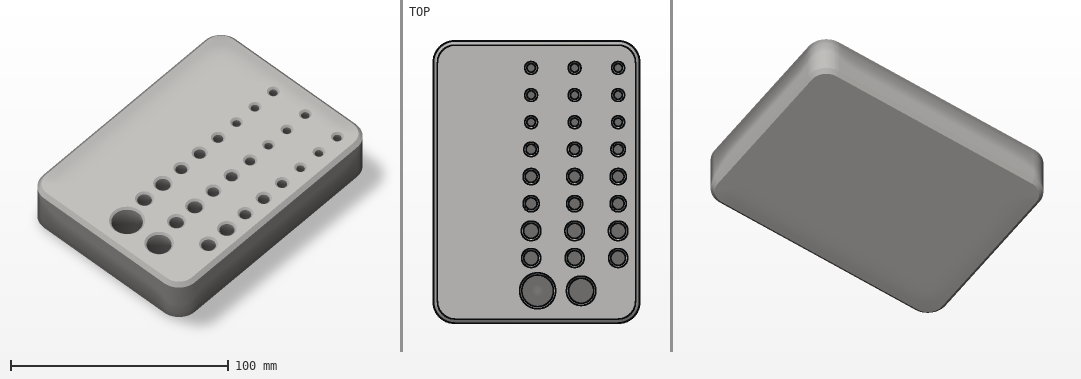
import cadquery as cq

WIDTH = 95.0
LENGTH = 130.0
HEIGHT = 25.0
CORNER_RADIUS = 10.0
EDGE_CHAMFER = 2.0

HOLE_DEPTH = 20.0
MOUTH_CHAMFER = 1.0

ROW_DIAMETERS = [3.9, 3.9, 3.9, 4.7, 5.5, 5.5, 7.0, 6.8]
COLUMN_COUNT = 3
FIRST_COLUMN_X = -2.5
COLUMN_PITCH = 20.0
FIRST_ROW_Y = 52.5
LAST_ROW_Y = -35.0
ROW_PITCH = (FIRST_ROW_Y - LAST_ROW_Y) / (len(ROW_DIAMETERS) - 1)

LARGE_PIPE_DIAMETER = 14.5
SMALL_PIPE_DIAMETER = 11.6
LARGE_PIPE_X = 0.5
SMALL_PIPE_X = LARGE_PIPE_X + COLUMN_PITCH
PIPE_ROW_Y = -50.0


def make_block():
    """Rounded block standing on Z = 0, chamfered around its top and bottom rims."""
    block = cq.Workplane("XY").box(WIDTH, LENGTH, HEIGHT, centered=(True, True, False))
    block = block.edges("|Z").fillet(CORNER_RADIUS)
    return block.faces("<Z or >Z").chamfer(EDGE_CHAMFER)


def make_hole_cutter(x, y, diameter):
    """Flat-bottomed blind hole with a 45 degree chamfer at its mouth."""
    radius = diameter / 2
    floor_z = HEIGHT - HOLE_DEPTH
    half_profile = (
        cq.Workplane("XZ")
        .moveTo(0, floor_z)
        .lineTo(radius, floor_z)
        .lineTo(radius, HEIGHT - MOUTH_CHAMFER)
        .lineTo(radius + MOUTH_CHAMFER, HEIGHT)
        .lineTo(0, HEIGHT)
        .close()
    )
    return half_profile.revolve(360, (0, 0), (0, 1)).translate((x, y, 0))


result = make_block()

for row, row_diameter in enumerate(ROW_DIAMETERS):
    row_y = FIRST_ROW_Y - row * ROW_PITCH
    for column in range(COLUMN_COUNT):
        column_x = FIRST_COLUMN_X + column * COLUMN_PITCH
        result = result.cut(make_hole_cutter(column_x, row_y, row_diameter))

result = result.cut(make_hole_cutter(LARGE_PIPE_X, PIPE_ROW_Y, LARGE_PIPE_DIAMETER))
result = result.cut(make_hole_cutter(SMALL_PIPE_X, PIPE_ROW_Y, SMALL_PIPE_DIAMETER))